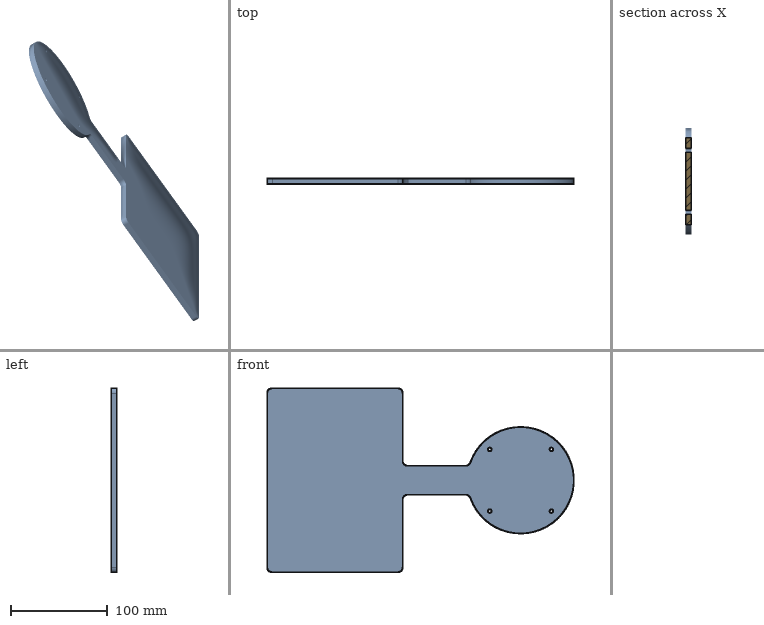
import cadquery as cq

total_length = 316.5
thickness = 6.0
panel_width = 140.0
panel_height = 190.0
panel_corner_radius = 5.0
disc_diameter = 110.2
neck_height = 30.0
neck_fillet_radius = 5.0
hole_spacing = 63.5
hole_diameter = 3.5

disc_center_x = total_length - disc_diameter / 2


def extrude_along_y(profile):
    """Thicken an XZ profile equally to both sides of Y = 0."""
    return profile.extrude(thickness / 2, both=True)


def make_panel():
    profile = cq.Workplane("XZ").center(panel_width / 2, 0).rect(panel_width, panel_height)
    return extrude_along_y(profile).edges("|Y").fillet(panel_corner_radius)


def make_neck():
    start_x = panel_width / 2
    length = disc_center_x - start_x
    profile = cq.Workplane("XZ").center(start_x + length / 2, 0).rect(length, neck_height)
    return extrude_along_y(profile)


def make_disc():
    return extrude_along_y(cq.Workplane("XZ").center(disc_center_x, 0).circle(disc_diameter / 2))


def make_holes():
    profile = (
        cq.Workplane("XZ")
        .center(disc_center_x, 0)
        .rect(hole_spacing, hole_spacing, forConstruction=True)
        .vertices()
        .circle(hole_diameter / 2)
    )
    return extrude_along_y(profile)


def round_neck_corners(body):
    """Fillet the inside corners where the neck meets the panel and the disc."""
    neck_zone = cq.selectors.BoxSelector(
        (panel_width - neck_fillet_radius, -thickness, -neck_height),
        (disc_center_x - hole_spacing / 2, thickness, neck_height),
    )
    return body.edges("|Y").edges(neck_zone).fillet(neck_fillet_radius)


outline = make_panel().union(make_neck()).union(make_disc())
result = round_neck_corners(outline).cut(make_holes())